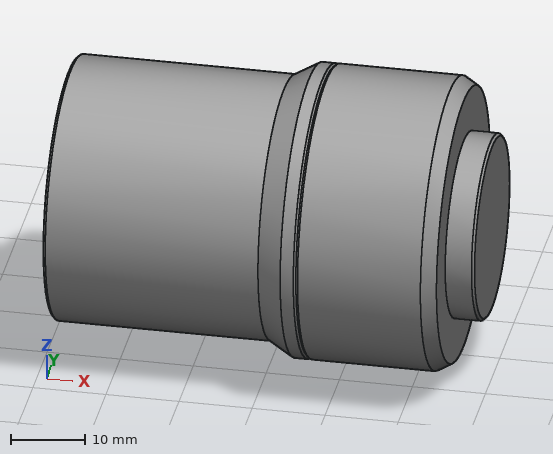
import cadquery as cq

total_length = 58.0
barrel_end = 29.45
cone_end = 32.9
groove_start = 34.7
groove_width = 0.6
collar_end = 54.05
collar_chamfer_length = 2.0

barrel_diameter = 36.1
collar_diameter = 40.0
spigot_diameter = 25.4

collar_chamfer_depth = 1.15
groove_depth = 0.3
end_chamfer = 0.35

barrel_radius = barrel_diameter / 2
collar_radius = collar_diameter / 2
spigot_radius = spigot_diameter / 2
groove_radius = collar_radius - groove_depth
groove_end = groove_start + groove_width

profile = [
    (0, 0),
    (0, barrel_radius - end_chamfer),
    (end_chamfer, barrel_radius),
    (barrel_end, barrel_radius),
    (cone_end, collar_radius),
    (groove_start, collar_radius),
    (groove_start + groove_width / 2, groove_radius),
    (groove_end, collar_radius),
    (collar_end - collar_chamfer_length, collar_radius),
    (collar_end, collar_radius - collar_chamfer_depth),
    (collar_end, spigot_radius),
    (total_length - end_chamfer, spigot_radius),
    (total_length, spigot_radius - end_chamfer),
    (total_length, 0),
]

result = (
    cq.Workplane("XY")
    .polyline(profile)
    .close()
    .revolve(360, (0, 0, 0), (1, 0, 0))
    .translate((-total_length / 2, 0, 0))
)